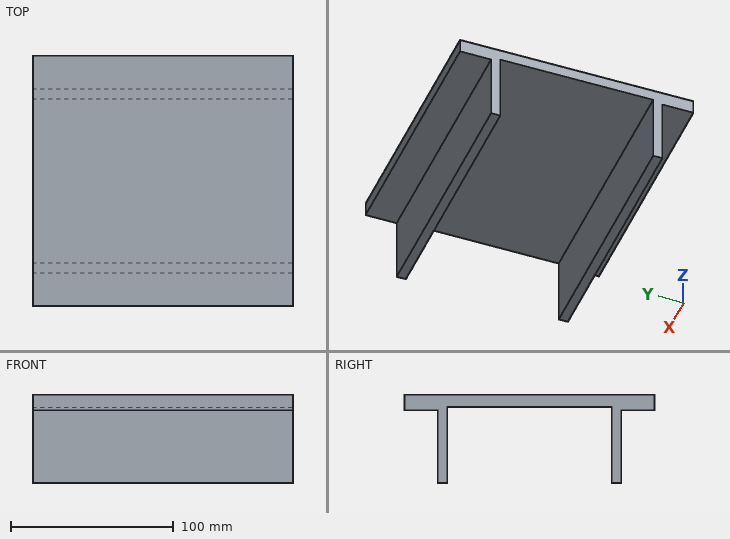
import cadquery as cq

length = 160.0
width = 154.0
height = 54.2

edge_thickness = 9.6
middle_thickness = 7.7

leg_thickness = 6.0
leg_outer_span = 113.0
leg_inner_span = leg_outer_span - 2 * leg_thickness


def centred_block(block_width, bottom, top):
    """Full-length block centred on X and Y between two heights."""
    return (
        cq.Workplane("XY")
        .workplane(offset=bottom)
        .rect(length, block_width)
        .extrude(top - bottom)
    )


plate = centred_block(width, height - edge_thickness, height)
leg_envelope = centred_block(leg_outer_span, 0, height)
channel = centred_block(leg_inner_span, 0, height - middle_thickness)

result = plate.union(leg_envelope).cut(channel).clean()